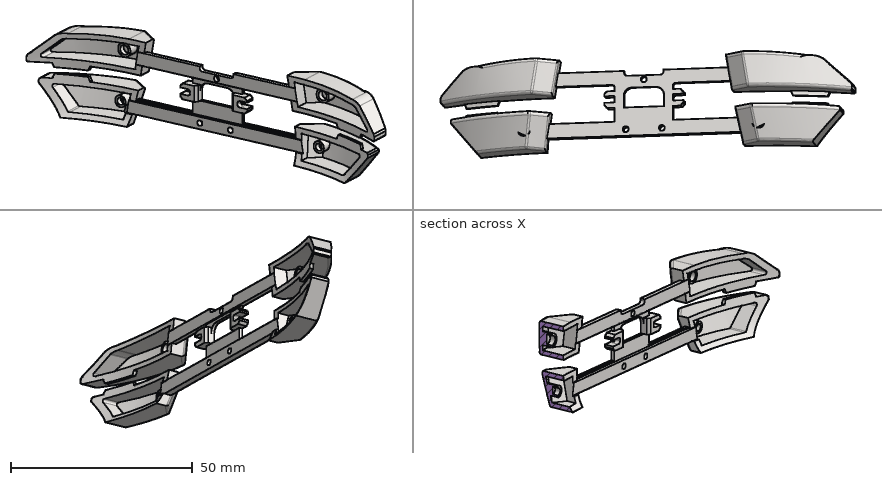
import cadquery as cq
import math


CREST_X = 25.9
BACK_RADIUS = 51.7
OUTLINE_INNER_X = 17.2
PLAN_LIMIT_X = 59.7
OPEN_Y = -23.0
THROUGH = 68.9
RIM_WIDTH = 1.5
OUTER_RIM_EXTRA = 0.8
END_RIM_WIDTH = 2.1
WALL = 1.3
BACK_EDGE_ROUND = 0.9
BACK_SPOT_X = 37.9
ROUNDED_TO_X = 48.3
POCKET_CORNER_ROUND = 0.6

UPPER_BOTTOM = 14.6
UPPER_TOP = 24.6
UPPER_TIP_X = 57.5
UPPER_END_X = (25.3, 23.3)
UPPER_CORNER_X = (30.5, 28.6)
UPPER_END_BACK_Y = (3.0, 3.0)
UPPER_BACK_CREST = (7.0, 7.0)
UPPER_FRONT_CREST = (-1.4, -1.4)
UPPER_FRONT_RADIUS = (65.5, 65.5)

LOWER_BOTTOM = 0.0
LOWER_TOP = 10.1
LOWER_TIP_X = 54.3
LOWER_END_X = (27.6, 25.6)
LOWER_CORNER_X = (32.4, 30.6)
LOWER_END_BACK_Y = (-0.8, 3.1)
LOWER_BACK_CREST = (3.3, 6.8)
LOWER_FRONT_CREST = (-4.5, -4.5)
LOWER_FRONT_RADIUS = (57.5, 57.5)
LOWER_LIP_CREST = -3.5
LOWER_RIM_TOP_CREST = -1.4
LOWER_TAB_CREST = -1.1
LOWER_TOP_FRONT_RADIUS = 65.5

TAB_INNER_X = 40.7
TAB_OUTER_X = 51.0
TAB_END_SLOPE = 0.6
TAB_HEIGHT = 1.3
TAB_THICKNESS = 1.0

POST_X = 32.7
POST_LENGTH = 3.2
POST_BORE_DEPTH = 1.7
UPPER_POST_Z = 19.5
UPPER_POST_RADIUS = 2.1
LOWER_POST_Z = 5.0
LOWER_POST_RADIUS = 1.7
POST_WALL = 0.7

BAR_END_X = 29.9
WEB_THICKNESS = 1.0
WEB_HALF_WIDTH = 8.2
WEB_FLARE = 0.6
UPPER_BAR_THICKNESS = 1.5
UPPER_BAR_BOTTOM = 17.6
UPPER_BAR_TOP = 21.4
LOWER_BAR_THICKNESS = 2.2
LOWER_BAR_BOTTOM = 3.2
LOWER_BAR_TOP = 6.9
LOWER_BAR_LEDGE_TOP = 7.2
BAR_NOTCH_HALF_WIDTH = 5.5
BAR_NOTCH_FLOOR = 20.0
BAR_NOTCH_ROUND = 0.9
HOLE_RADIUS = 0.8
UPPER_HOLE_Z = 18.8
LOWER_HOLE_X = 5.0
LOWER_HOLE_Z = 5.0
WINDOW_HALF_WIDTH = 5.6
WINDOW_BOTTOM = 11.1
WINDOW_TOP = 16.7
WINDOW_ROUND = 2.4

CLIP_OUTER_X = 11.0
CLIP_BOTTOM = 11.1
CLIP_TOP = 15.9
CLIP_FRONT_Y = -2.9
CLIP_BEVEL = 0.8
CLIP_SLOT_FLOOR_X = 7.8
CLIP_SLOT_BOTTOM = 12.6
CLIP_SLOT_TOP = 14.5
CLIP_SLOT_ROUND = 0.8
CLIP_TIP_BEVEL = 0.8


def curve_y(x, crest_y, radius):
    """Y of a plan arc that crests at (CREST_X, crest_y)."""
    return crest_y - radius + math.sqrt(radius**2 - (x - CREST_X) ** 2)


def arc_to(section, x_start, x_end, crest_y, radius):
    """Continue a plan section along a crest arc from x_start to x_end."""
    x_middle = (x_start + x_end) / 2
    middle = (x_middle, curve_y(x_middle, crest_y, radius))
    return section.threePointArc(middle, (x_end, curve_y(x_end, crest_y, radius)))


def loft(sections, ruled=True):
    """Loft (plan section, z) pairs."""
    wires = [section.close().val().moved(cq.Location(cq.Vector(0, 0, z))) for section, z in sections]
    return cq.Workplane(cq.Solid.makeLoft(wires, ruled))


def prism(outline):
    """Sweep an XZ outline along Y."""
    return outline.extrude(THROUGH / 2, both=True)


def box(x_range, y_range, z_range):
    size = [high - low for low, high in (x_range, y_range, z_range)]
    return cq.Workplane().box(*size, centered=False).translate((x_range[0], y_range[0], z_range[0]))


def cylinder_y(x, z, radius, y_front, y_back):
    """Cylinder along Y between two depths."""
    return cq.Workplane("XZ", origin=(x, y_back, z)).circle(radius).extrude(y_back - y_front)


def body_section(end_x, corner_x, end_back_y, back_crest, front_crest, front_radius):
    section = cq.Workplane().moveTo(end_x, curve_y(end_x, front_crest, front_radius))
    section = section.lineTo(end_x, end_back_y)
    section = section.lineTo(corner_x, curve_y(corner_x, back_crest, BACK_RADIUS))
    section = arc_to(section, corner_x, PLAN_LIMIT_X, back_crest, BACK_RADIUS)
    section = section.lineTo(PLAN_LIMIT_X, curve_y(PLAN_LIMIT_X, front_crest, front_radius))
    return arc_to(section, PLAN_LIMIT_X, end_x, front_crest, front_radius)


def pocket_section(end_x, corner_x, end_back_y, back_crest):
    inner_end = end_x + END_RIM_WIDTH
    floor_crest = back_crest - WALL
    floor_radius = BACK_RADIUS - WALL
    corner = corner_x + WALL / 2
    corner_y = curve_y(corner, floor_crest, floor_radius)
    slope = (curve_y(corner_x, back_crest, BACK_RADIUS) - end_back_y) / (corner_x - end_x)
    section = cq.Workplane().moveTo(inner_end, OPEN_Y)
    section = section.lineTo(inner_end, corner_y - slope * (corner - inner_end)).lineTo(corner, corner_y)
    section = arc_to(section, corner, PLAN_LIMIT_X, floor_crest, floor_radius)
    return section.lineTo(PLAN_LIMIT_X, OPEN_Y)


def front_section(crest_y, radius):
    """Plan area between an open front and a crest arc."""
    section = cq.Workplane().moveTo(OUTLINE_INNER_X, OPEN_Y)
    section = section.lineTo(OUTLINE_INNER_X, curve_y(OUTLINE_INNER_X, crest_y, radius))
    section = arc_to(section, OUTLINE_INNER_X, PLAN_LIMIT_X, crest_y, radius)
    return section.lineTo(PLAN_LIMIT_X, OPEN_Y)


def tab_band(front_crest, front_radius):
    """Everything from the open front to one tab thickness behind the front arc."""
    section = front_section(front_crest + TAB_THICKNESS, front_radius + TAB_THICKNESS)
    return section.close().extrude(UPPER_TOP)


def upper_outline():
    """Outline seen from the front, open-ended inwards: bowed top, rounded shoulder, outer slope."""
    return (
        cq.Workplane("XZ")
        .moveTo(OUTLINE_INNER_X, UPPER_BOTTOM)
        .lineTo(OUTLINE_INNER_X, UPPER_TOP)
        .lineTo(CREST_X, UPPER_TOP)
        .threePointArc((36.8, 24.4), (47.0, 23.5))
        .threePointArc((49.0, 23.3), (50.3, 22.7))
        .lineTo(57.1, 16.8)
        .lineTo(UPPER_TIP_X, 16.1)
        .lineTo(UPPER_TIP_X, 14.9)
        .lineTo(57.1, UPPER_BOTTOM)
        .close()
    )


def lower_outline():
    """Outline seen from the front, open-ended inwards: flat top and bottom, straight outer slope."""
    return (
        cq.Workplane("XZ")
        .moveTo(OUTLINE_INNER_X, LOWER_BOTTOM)
        .lineTo(46.9, LOWER_BOTTOM)
        .lineTo(LOWER_TIP_X, 8.8)
        .lineTo(LOWER_TIP_X, 9.7)
        .lineTo(53.9, LOWER_TOP)
        .lineTo(OUTLINE_INNER_X, LOWER_TOP)
        .close()
    )


def tab_outline(root_z, tip_z):
    return cq.Workplane("XZ").polyline(
        [
            (TAB_INNER_X, root_z),
            (TAB_OUTER_X, root_z),
            (TAB_OUTER_X - TAB_END_SLOPE, tip_z),
            (TAB_INNER_X + TAB_END_SLOPE, tip_z),
        ]
    ).close()


def housing(outline, levels, ends, corners, end_backs, back_crests, front_crests, front_radii):
    """Untrimmed block, solid body and pocket; every pair gives values at the two levels."""
    body_sections = [
        body_section(*values)
        for values in zip(ends, corners, end_backs, back_crests, front_crests, front_radii)
    ]
    pocket_sections = [pocket_section(*values) for values in zip(ends, corners, end_backs, back_crests)]
    block = loft(zip(body_sections, levels))
    body = block.intersect(prism(outline()))
    middle_z = sum(levels) / 2
    back_y = curve_y(BACK_SPOT_X, sum(back_crests) / 2, BACK_RADIUS)
    back_face = cq.selectors.NearestToPointSelector((BACK_SPOT_X, back_y, middle_z))
    angled_face = cq.selectors.NearestToPointSelector(
        ((sum(ends) + sum(corners)) / 4, (back_y + end_backs[0]) / 2, middle_z)
    )
    away_from_tip = cq.selectors.BoxSelector((0, -THROUGH, -THROUGH), (ROUNDED_TO_X, THROUGH, THROUGH))
    back_edges = body.faces(back_face).edges(away_from_tip)
    back_edges = back_edges.add(body.faces(angled_face).edges(away_from_tip))
    body = back_edges.fillet(BACK_EDGE_ROUND)
    pocket_prism = prism(outline().offset2D(-RIM_WIDTH)).translate((-OUTER_RIM_EXTRA, 0, 0))
    pocket = loft(zip(pocket_sections, levels)).intersect(pocket_prism)
    return block, body, pocket.edges("|Y").fillet(POCKET_CORNER_ROUND)


def post(z, radius, back_crest):
    """Hollow post and its blind bore."""
    floor_y = curve_y(POST_X, back_crest - WALL, BACK_RADIUS - WALL)
    front_y = floor_y - POST_LENGTH
    tube = cylinder_y(POST_X, z, radius, front_y, floor_y + WALL / 2)
    return tube.cut(cylinder_y(POST_X, z, radius - POST_WALL, front_y, front_y + POST_BORE_DEPTH))


def upper_housing():
    """Solid upper housing with its tab, and the pocket to be cut from it."""
    tab_tip = UPPER_BOTTOM - TAB_HEIGHT
    block, body, pocket = housing(
        upper_outline,
        (tab_tip, UPPER_TOP),
        UPPER_END_X,
        UPPER_CORNER_X,
        UPPER_END_BACK_Y,
        UPPER_BACK_CREST,
        UPPER_FRONT_CREST,
        UPPER_FRONT_RADIUS,
    )
    tab = block.intersect(tab_band(UPPER_FRONT_CREST[0], UPPER_FRONT_RADIUS[0]))
    return body.union(tab.intersect(prism(tab_outline(UPPER_BOTTOM, tab_tip)))), pocket


def lower_housing():
    """Solid lower housing with its tab, and the pocket to be cut from it."""
    tab_tip = LOWER_TOP + TAB_HEIGHT
    block, body, pocket = housing(
        lower_outline,
        (LOWER_BOTTOM, tab_tip),
        LOWER_END_X,
        LOWER_CORNER_X,
        LOWER_END_BACK_Y,
        LOWER_BACK_CREST,
        LOWER_FRONT_CREST,
        LOWER_FRONT_RADIUS,
    )
    rim_levels = (
        (LOWER_FRONT_CREST[0], LOWER_FRONT_RADIUS[0], LOWER_BOTTOM),
        (LOWER_LIP_CREST, LOWER_FRONT_RADIUS[0], LOWER_BOTTOM + RIM_WIDTH),
        (LOWER_RIM_TOP_CREST, LOWER_TOP_FRONT_RADIUS, LOWER_TOP),
        (LOWER_TAB_CREST, LOWER_TOP_FRONT_RADIUS, tab_tip),
    )
    rim_front = loft([(front_section(crest, radius), z) for crest, radius, z in rim_levels], ruled=False)
    tab = block.intersect(tab_band(LOWER_RIM_TOP_CREST, LOWER_TOP_FRONT_RADIUS))
    lower = body.union(tab.intersect(prism(tab_outline(LOWER_TOP, tab_tip))))
    bar_notch = box(
        (0, BAR_END_X), (OPEN_Y, -LOWER_BAR_THICKNESS), (LOWER_BAR_BOTTOM, LOWER_BAR_LEDGE_TOP)
    )
    return lower.cut(rim_front).cut(bar_notch), pocket


def frame():
    """Half of the two bars joined by the windowed web."""
    upper_bar = box((0, BAR_END_X), (-UPPER_BAR_THICKNESS, 0), (UPPER_BAR_BOTTOM, UPPER_BAR_TOP))
    bar_notch = box(
        (-BAR_NOTCH_HALF_WIDTH, BAR_NOTCH_HALF_WIDTH), (OPEN_Y, THROUGH), (BAR_NOTCH_FLOOR, THROUGH)
    ).edges("|Y and <Z").fillet(BAR_NOTCH_ROUND)
    lower_bar = box((0, BAR_END_X), (-LOWER_BAR_THICKNESS, 0), (LOWER_BAR_BOTTOM, LOWER_BAR_TOP))
    ledge = box((0, BAR_END_X), (-WEB_THICKNESS, 0), (LOWER_BAR_BOTTOM, LOWER_BAR_LEDGE_TOP))
    web_outline = [
        (0, LOWER_BAR_BOTTOM),
        (WEB_HALF_WIDTH, LOWER_BAR_BOTTOM),
        (WEB_HALF_WIDTH, UPPER_BAR_BOTTOM - WEB_FLARE),
        (WEB_HALF_WIDTH + WEB_FLARE, UPPER_BAR_BOTTOM),
        (0, UPPER_BAR_BOTTOM),
    ]
    web = cq.Workplane("XZ").polyline(web_outline).close().extrude(WEB_THICKNESS)
    window = box(
        (-WINDOW_HALF_WIDTH, WINDOW_HALF_WIDTH), (OPEN_Y, THROUGH), (WINDOW_BOTTOM, WINDOW_TOP)
    ).edges("|Y and >Z").fillet(WINDOW_ROUND)
    half = upper_bar.cut(bar_notch).union(lower_bar).union(ledge).union(web).cut(window)
    for x, z in ((0, UPPER_HOLE_Z), (LOWER_HOLE_X, LOWER_HOLE_Z)):
        half = half.cut(cylinder_y(x, z, HOLE_RADIUS, OPEN_Y, THROUGH))
    return half


def clip():
    """C-shaped clip, open towards the outside."""
    clip_body = box((WINDOW_HALF_WIDTH, CLIP_OUTER_X), (CLIP_FRONT_Y, 0), (CLIP_BOTTOM, CLIP_TOP))
    clip_body = clip_body.edges("|Z and <X and <Y").chamfer(CLIP_BEVEL)
    clip_body = clip_body.edges("|Y and >X").chamfer(CLIP_TIP_BEVEL)
    slot = box((CLIP_SLOT_FLOOR_X, THROUGH), (OPEN_Y, THROUGH), (CLIP_SLOT_BOTTOM, CLIP_SLOT_TOP))
    return clip_body.cut(slot.edges("|Y and <X").fillet(CLIP_SLOT_ROUND))


upper, upper_pocket = upper_housing()
lower, lower_pocket = lower_housing()
half_part = frame().union(clip()).union(upper).union(lower).cut(upper_pocket).cut(lower_pocket)
half_part = half_part.union(post(UPPER_POST_Z, UPPER_POST_RADIUS, UPPER_BACK_CREST[0]))
half_part = half_part.union(post(LOWER_POST_Z, LOWER_POST_RADIUS, sum(LOWER_BACK_CREST) / 2))
result = half_part.union(half_part.mirror("YZ"))